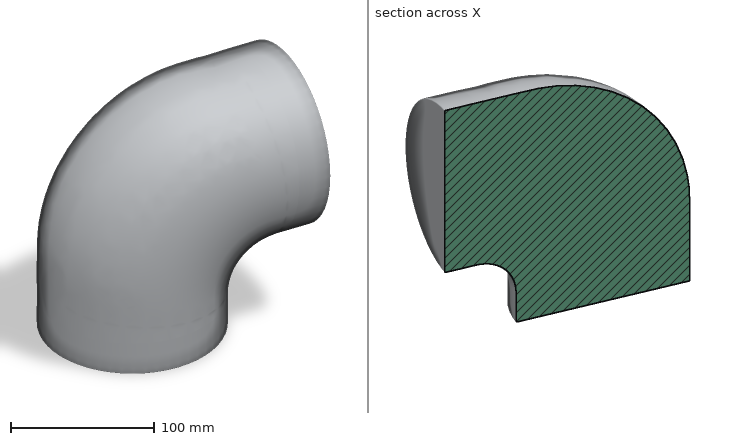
import cadquery as cq
import math

overall_length = 188.0
diameter = 133.5
collar_length = 25.0
outer_bend_radius = 122.2
edge_radius = 0.8
section_count = 31

pipe_radius = diameter / 2
collar_end = overall_length - pipe_radius
collar_start = collar_end - collar_length
inner_bend_radius = collar_start - pipe_radius
outer_reach = inner_bend_radius + diameter
outer_centre_offset = outer_reach - outer_bend_radius


def outer_distance(angle):
    """Distance from the inner bend centre to the outside of the elbow.

    The outside is an arc with a short straight run at each end.
    """
    angle_from_end = min(angle, math.pi / 2 - angle)
    if outer_reach * math.tan(angle_from_end) <= outer_centre_offset:
        return outer_reach / math.cos(angle_from_end)
    along = outer_centre_offset * (math.cos(angle) + math.sin(angle))
    across = outer_centre_offset * (math.cos(angle) - math.sin(angle))
    return along + math.sqrt(outer_bend_radius ** 2 - across ** 2)


def bend_section(angle):
    """Elliptical section on a plane through the bend centre, angle from -Y to +Z."""
    outside = outer_distance(angle)
    middle = (inner_bend_radius + outside) / 2
    radial = cq.Vector(0, -math.cos(angle), math.sin(angle))
    normal = cq.Vector(0, math.sin(angle), math.cos(angle))
    bend_centre = cq.Vector(0, collar_start, -collar_start)
    plane = cq.Plane(bend_centre + radial * middle, radial, normal)
    half_height = (outside - inner_bend_radius) / 2
    ellipse = cq.Workplane(plane).ellipse(half_height, pipe_radius)
    return ellipse.wires().val()


def make_bend():
    step = math.pi / 2 / (section_count - 1)
    sections = [bend_section(i * step) for i in range(section_count)]
    return cq.Workplane(cq.Solid.makeLoft(sections))


def make_collar(direction):
    start = direction * collar_start
    plane = cq.Plane(start, cq.Vector(1, 0, 0), direction)
    collar = cq.Workplane(plane).circle(pipe_radius).extrude(collar_length)
    return collar.faces(cq.selectors.DirectionMinMaxSelector(direction)).fillet(edge_radius)


bend = make_bend()
lower_collar = make_collar(cq.Vector(0, 0, -1))
rear_collar = make_collar(cq.Vector(0, 1, 0))
result = bend.union(lower_collar).union(rear_collar)